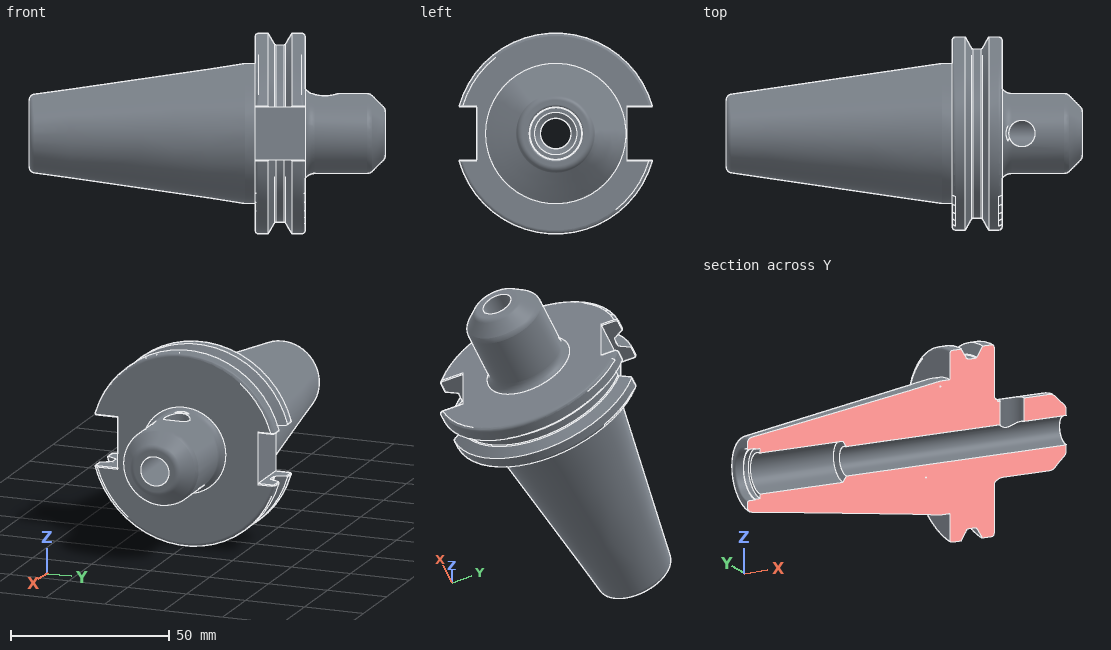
import cadquery as cq
import math

total_length = 112.7
gauge_x = 68.3
flange_start = 71.5
flange_end = 87.3
groove_middle = 79.3

gauge_radius = 44.4 / 2
flange_radius = 31.8
groove_radius = 28.1
neck_radius = 25.4 / 2
taper_slope = 3.5 / 24
small_end_radius = gauge_radius - taper_slope * gauge_x

small_end_fillet = 2.0
rim_fillet = 1.1
groove_floor_width = 3.2
groove_wall_angle = math.radians(30)
groove_corner_fillet = 0.5
neck_blend_start = 90.4
neck_blend_radius = 3.8
nose_chamfer = 4.8
nose_chamfer_start = total_length - nose_chamfer
nose_blend_radius = 2.3

slot_half_width = 8.3
slot_floor_front = 22.5
slot_floor_back = 25.0
slot_edge_chamfer = 0.3

tolerance = 0.001

through_radius = 9.6 / 2
thread_radius = 13.4 / 2
thread_depth = 33.8
drill_tip_half_angle = math.radians(59)
counterbore_radius = 16.3 / 2
counterbore_depth = 4.5
entry_radius = 16.8 / 2
entry_depth = 2.8
mouth_fillet = 0.7

screw_x = 93.5
screw_diameter = 8.3
spot_face_diameter = 10.0


def make_body():
    """Revolve the taper, grooved flange and neck about the X axis."""
    floor_half = groove_floor_width / 2
    groove_half = floor_half + (flange_radius - groove_radius) * math.tan(groove_wall_angle)
    blend_rise = neck_blend_radius - math.sqrt(
        neck_blend_radius**2 - (neck_blend_start - flange_end) ** 2
    )
    blend_angle = math.asin((neck_blend_start - flange_end) / neck_blend_radius) / 2
    blend_middle = (
        neck_blend_start - neck_blend_radius * math.sin(blend_angle),
        neck_radius + neck_blend_radius * (1 - math.cos(blend_angle)),
    )
    tip_radius = neck_radius - nose_chamfer
    profile = (
        cq.Workplane("XY")
        .moveTo(0, 0)
        .lineTo(0, small_end_radius)
        .lineTo(gauge_x, gauge_radius)
        .lineTo(flange_start, gauge_radius)
        .lineTo(flange_start, flange_radius)
        .lineTo(groove_middle - groove_half, flange_radius)
        .lineTo(groove_middle - floor_half, groove_radius)
        .lineTo(groove_middle + floor_half, groove_radius)
        .lineTo(groove_middle + groove_half, flange_radius)
        .lineTo(flange_end, flange_radius)
        .lineTo(flange_end, neck_radius + blend_rise)
        .threePointArc(blend_middle, (neck_blend_start, neck_radius))
        .lineTo(nose_chamfer_start, neck_radius)
        .lineTo(total_length, tip_radius)
        .lineTo(total_length, 0)
        .close()
    )
    body = profile.revolve(360, (0, 0, 0), (1, 0, 0))

    def round_circle(solid, x, radius, size):
        """Fillet the circular edge of the given radius at station x."""

        def is_wanted(edge):
            on_station = abs(edge.Center().x - x) < tolerance
            return on_station and edge.geomType() == "CIRCLE" and abs(edge.radius() - radius) < tolerance

        return solid.edges().filter(is_wanted).fillet(size)

    rounded_circles = [
        (0, small_end_radius, small_end_fillet),
        (flange_start, flange_radius, rim_fillet),
        (flange_end, flange_radius, rim_fillet),
        (groove_middle - floor_half, groove_radius, groove_corner_fillet),
        (groove_middle + floor_half, groove_radius, groove_corner_fillet),
        (nose_chamfer_start, neck_radius, nose_blend_radius),
        (total_length, tip_radius, nose_blend_radius),
    ]
    for x, radius, size in rounded_circles:
        body = round_circle(body, x, radius, size)
    return body


def cut_drive_slot(body, side, floor):
    """Cut one slot through the flange on the given Y side and break its edges."""
    flange_length = flange_end - flange_start
    slot = cq.Workplane("XY").box(
        flange_length, flange_radius, 2 * slot_half_width, centered=(False, False, True)
    )
    if side < 0:
        slot = slot.mirror("XZ")
    slotted = body.cut(slot.translate((flange_start, side * floor, 0)))

    def is_slot_edge(edge):
        """Keep wall edges on the end faces and the rim, outside the groove."""
        point = edge.Center()
        on_wall = abs(abs(point.z) - slot_half_width) < tolerance
        outside_floor = side * point.y > floor + tolerance
        on_end = min(point.x - flange_start, flange_end - point.x) < tolerance
        rim_y = math.sqrt(flange_radius**2 - slot_half_width**2)
        on_rim = side * point.y > rim_y - rim_fillet
        return on_wall and outside_floor and (on_end or on_rim)

    edges = slotted.edges().filter(is_slot_edge)
    return edges.chamfer(slot_edge_chamfer)


def make_bore():
    """Stepped bore entered from the narrow end, continuing through the part."""
    tip_length = (thread_radius - through_radius) / math.tan(drill_tip_half_angle)
    return (
        cq.Workplane("XY")
        .moveTo(0, 0)
        .lineTo(0, entry_radius + mouth_fillet)
        .radiusArc((mouth_fillet, entry_radius), -mouth_fillet)
        .lineTo(entry_depth, entry_radius)
        .lineTo(entry_depth, counterbore_radius)
        .lineTo(counterbore_depth, counterbore_radius)
        .lineTo(counterbore_depth, thread_radius)
        .lineTo(thread_depth, thread_radius)
        .lineTo(thread_depth + tip_length, through_radius)
        .lineTo(total_length, through_radius)
        .lineTo(total_length, 0)
        .close()
        .revolve(360, (0, 0, 0), (1, 0, 0))
    )


def make_screw_hole():
    """Radial screw hole from +Z into the bore, with a spot face in the neck blend."""
    hole = cq.Workplane("XY").center(screw_x, 0).circle(screw_diameter / 2).extrude(gauge_radius)
    spot_face = (
        cq.Workplane("XY", origin=(screw_x, 0, neck_radius))
        .circle(spot_face_diameter / 2)
        .extrude(gauge_radius - neck_radius)
    )
    return hole.union(spot_face)


body = make_body()
body = cut_drive_slot(body, -1, slot_floor_front)
body = cut_drive_slot(body, 1, slot_floor_back)
result = body.cut(make_bore()).cut(make_screw_hole())